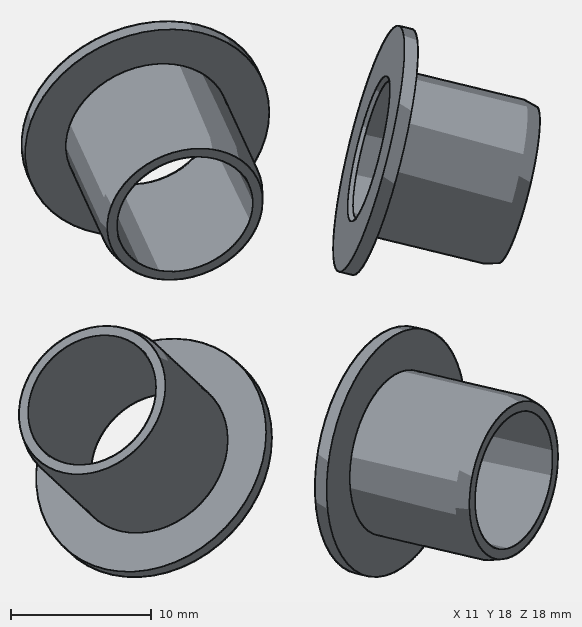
import cadquery as cq
import math

flange_diameter = 18.0
sleeve_diameter = 12.0
bore_diameter = 10.0
total_length = 11.0
flange_thickness = 1.0

taper_length = 1.0
taper_angle = 15.0
taper_depth = taper_length * math.tan(math.radians(taper_angle))

bore_chamfer = 0.3


def disc(diameter, length):
    """Solid cylinder along +X starting at X = 0."""
    return cq.Workplane("YZ").circle(diameter / 2).extrude(length)


def tapered_sleeve():
    """Solid sleeve body, revolved about X, narrowing towards its free end."""
    radius = sleeve_diameter / 2
    return (
        cq.Workplane("XY")
        .moveTo(0, 0)
        .lineTo(0, radius)
        .lineTo(total_length - taper_length, radius)
        .lineTo(total_length, radius - taper_depth)
        .lineTo(total_length, 0)
        .close()
        .revolve(360, (0, 0, 0), (1, 0, 0))
    )


body = disc(flange_diameter, flange_thickness).union(tapered_sleeve())
bored = body.cut(disc(bore_diameter, total_length))

bore_mouth = cq.selectors.RadiusNthSelector(0)
result = bored.faces("<X").edges(bore_mouth).chamfer(bore_chamfer)